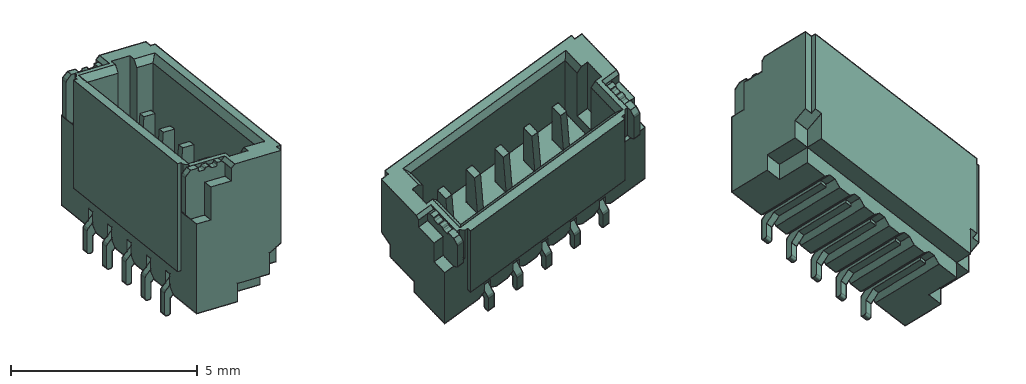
import cadquery as cq


LENGTH = 7.0
DEPTH = 2.785
HEIGHT = 4.25
HALF_LENGTH = LENGTH / 2

CAVITY_LENGTH = 5.39
PANEL_THICKNESS = 0.11
PANEL_BOTTOM = 0.94

REAR_STEP_LENGTH = 0.245
REAR_STEP_DEPTH = 0.14

LEDGE_HEIGHT = 0.56
FOOT_BACK = 2.28
END_UNDERCUT_LENGTH = 0.49
END_FOOT_BACK = 1.28
SLOPE_LOW = 1.205
SLOPE_HIGH = 1.49

CAVITY_FRONT = 0.295
CAVITY_BACK = 2.38
CAVITY_FLOOR = 1.25
RIM_BEVEL = 0.15
RIM_BEVEL_DEPTH = 0.195
KEY_SPAN = 6.11
KEY_FRONT = 1.295
KEY_BACK = 1.875
KEY_FLOOR = 1.75

PIN_COUNT = 5
PIN_PITCH = 1.0
PIN_WIDTH = 0.21
PIN_FRONT = -0.16
TAIL_THICKNESS = 0.18
TAIL_BOTTOM = -0.7
TAIL_END_RADIUS = 0.07
TAIL_BEND_TOP = 0.05
TAIL_BEND_BOTTOM = -0.19
BEND_RADIUS = 0.105
BLADE_BACK = 1.97
BLADE_THICKNESS = 0.49
BLADE_TOP = 3.0
BLADE_TAPER = 0.14
BLADE_TAPER_HEIGHT = 1.96
BAR_TOP = LEDGE_HEIGHT
BAR_BOTTOM = BAR_TOP - BLADE_THICKNESS
BLADE_FRONT = BLADE_BACK - BLADE_THICKNESS

NOTCH_WIDTH = 0.595
NOTCH_HEIGHT = 0.18

TAB_OUTER_INSET = 0.315
TAB_THICKNESS = 0.2
TAB_FRONT = PIN_FRONT
TAB_BACK = 1.085
TAB_STEP = 0.44
TAB_STEP_Z = 3.76
TAB_BOTTOM = 2.75
TAB_FRONT_BEVEL = -TAB_FRONT
TAB_BACK_BEVEL = 0.105
TAB_CORNER_RADIUS = 0.09
POCKET_INSET = TAB_OUTER_INSET + TAB_THICKNESS

RELIEF_DEPTH = 0.11
RELIEF_INSET = 0.61
RELIEF_MOUTH_INSET = 0.715

GROOVE_CENTER = 0.54
GROOVE_WIDTH = 0.59
GROOVE_DEPTH = 0.11
GROOVE_CORNER_RADIUS = 0.05
HUMP_TOP_WIDTH = 0.09
HUMP_BASE_WIDTH = 0.265
HUMP_HEIGHT = 0.07


def box(x_range, y_range, z_range):
    """Block between the given limits."""
    size = [high - low for low, high in (x_range, y_range, z_range)]
    corner = (x_range[0], y_range[0], z_range[0])
    return cq.Workplane("XY").box(*size, centered=False).translate(corner)


def side_plate(points, x_start, thickness):
    """Outline of (Y, Z) points extruded along +X from x_start."""
    outline = cq.Workplane("YZ", origin=(x_start, 0, 0)).polyline(points).close()
    return outline.extrude(thickness)


def at_both_ends(left_shape):
    """The given left-hand shape together with its mirror image on the right."""
    return [left_shape, left_shape.mirror("YZ")]


def pin_positions():
    first = -PIN_PITCH * (PIN_COUNT - 1) / 2
    return [first + PIN_PITCH * index for index in range(PIN_COUNT)]


def make_outer_shape():
    """Housing block with its front panel, rear corner steps and stepped underside."""
    half_panel = CAVITY_LENGTH / 2
    body = box((-HALF_LENGTH, HALF_LENGTH), (0, DEPTH), (0, HEIGHT))
    body = body.union(box((-half_panel, half_panel), (-PANEL_THICKNESS, 0), (PANEL_BOTTOM, HEIGHT)))
    body = body.cut(box((-HALF_LENGTH, HALF_LENGTH), (FOOT_BACK, DEPTH), (0, LEDGE_HEIGHT)))

    rear_step = box(
        (-HALF_LENGTH, REAR_STEP_LENGTH - HALF_LENGTH), (DEPTH - REAR_STEP_DEPTH, DEPTH), (0, HEIGHT)
    )
    undercut_outline = [
        (DEPTH, 0),
        (DEPTH, SLOPE_HIGH),
        (FOOT_BACK, SLOPE_LOW),
        (FOOT_BACK, LEDGE_HEIGHT),
        (END_FOOT_BACK, LEDGE_HEIGHT),
        (END_FOOT_BACK, 0),
    ]
    undercut = side_plate(undercut_outline, -HALF_LENGTH, END_UNDERCUT_LENGTH)
    for cutter in at_both_ends(rear_step) + at_both_ends(undercut):
        body = body.cut(cutter)
    return body


def make_cavity():
    """Mating space with its flared rim and the two key slots."""
    center_y = (CAVITY_FRONT + CAVITY_BACK) / 2
    width = CAVITY_BACK - CAVITY_FRONT
    half_cavity = CAVITY_LENGTH / 2
    cavity = box((-half_cavity, half_cavity), (CAVITY_FRONT, CAVITY_BACK), (CAVITY_FLOOR, HEIGHT))
    rim = (
        cq.Workplane("XY", origin=(0, center_y, HEIGHT - RIM_BEVEL_DEPTH))
        .rect(CAVITY_LENGTH, width)
        .workplane(offset=RIM_BEVEL_DEPTH)
        .rect(CAVITY_LENGTH + 2 * RIM_BEVEL, width + 2 * RIM_BEVEL)
        .loft(ruled=True)
    )
    keys = box((-KEY_SPAN / 2, KEY_SPAN / 2), (KEY_FRONT, KEY_BACK), (KEY_FLOOR, HEIGHT))
    return cavity.union(rim).union(keys)


def make_pin_opening(x):
    """Underside notch, bar slot and blade hole for the pin at x."""
    half_pin = PIN_WIDTH / 2
    sides = (x - half_pin, x + half_pin)
    notch = (
        cq.Workplane("XZ", origin=(x, 0, 0))
        .polyline(
            [
                (-NOTCH_WIDTH / 2, 0),
                (-half_pin, NOTCH_HEIGHT),
                (half_pin, NOTCH_HEIGHT),
                (NOTCH_WIDTH / 2, 0),
            ]
        )
        .close()
        .extrude(-FOOT_BACK)
    )
    bar_slot = box(sides, (0, BLADE_BACK), (0, BAR_TOP))
    blade_hole = box(sides, (BLADE_FRONT, BLADE_BACK), (BAR_BOTTOM, CAVITY_FLOOR))
    return notch.union(bar_slot).union(blade_hole)


def make_tab_pocket():
    """Left-hand pocket for a solder tab, with its lead-in bevel and front relief."""
    outline = [
        (0, TAB_BOTTOM),
        (TAB_STEP, TAB_BOTTOM),
        (TAB_STEP, TAB_STEP_Z),
        (TAB_BACK, TAB_STEP_Z),
        (TAB_BACK, HEIGHT - TAB_BACK_BEVEL),
        (TAB_BACK + TAB_BACK_BEVEL, HEIGHT),
        (0, HEIGHT),
    ]
    pocket = side_plate(outline, -HALF_LENGTH, POCKET_INSET)
    relief = (
        cq.Workplane("XY", origin=(-HALF_LENGTH, 0, TAB_BOTTOM))
        .polyline([(0, 0), (RELIEF_MOUTH_INSET, 0), (RELIEF_INSET, RELIEF_DEPTH), (0, RELIEF_DEPTH)])
        .close()
        .extrude(HEIGHT - TAB_BOTTOM)
    )
    return pocket.union(relief)


def make_housing():
    body = make_outer_shape().cut(make_cavity())
    for x in pin_positions():
        body = body.cut(make_pin_opening(x))
    for pocket in at_both_ends(make_tab_pocket()):
        body = body.cut(pocket)
    return body


def make_pin(x):
    """One contact pin centred at x, with 45-degree slopes from the bar down to the tail."""
    tail_back = PIN_FRONT + TAIL_THICKNESS
    outline = [
        (PIN_FRONT, TAIL_BOTTOM),
        (PIN_FRONT, TAIL_BEND_TOP),
        (PIN_FRONT + BAR_TOP - TAIL_BEND_TOP, BAR_TOP),
        (BLADE_FRONT, BAR_TOP),
        (BLADE_FRONT, BLADE_TOP - BLADE_TAPER_HEIGHT),
        (BLADE_FRONT + BLADE_TAPER, BLADE_TOP),
        (BLADE_BACK, BLADE_TOP),
        (BLADE_BACK, BAR_BOTTOM),
        (tail_back + BAR_BOTTOM - TAIL_BEND_BOTTOM, BAR_BOTTOM),
        (tail_back, TAIL_BEND_BOTTOM),
        (tail_back, TAIL_BOTTOM),
    ]
    pin = side_plate(outline, x - PIN_WIDTH / 2, PIN_WIDTH)
    pin = pin.edges("|X and <Z").fillet(TAIL_END_RADIUS)
    front_bend = cq.selectors.NearestToPointSelector((x, PIN_FRONT, TAIL_BEND_TOP))
    return pin.edges("|X").edges(front_bend).fillet(BEND_RADIUS)


def make_tab_groove():
    """Groove along X through the left-hand tab's top edge, with an S-sided hump in its floor."""
    side_length = GROOVE_DEPTH - GROOVE_CORNER_RADIUS
    floor_length = (GROOVE_WIDTH - HUMP_BASE_WIDTH) / 2 - GROOVE_CORNER_RADIUS
    half_run = (HUMP_BASE_WIDTH - HUMP_TOP_WIDTH) / 4
    half_rise = HUMP_HEIGHT / 2
    return (
        cq.Workplane("YZ", origin=(-HALF_LENGTH + TAB_OUTER_INSET, 0, 0))
        .moveTo(GROOVE_CENTER - GROOVE_WIDTH / 2, HEIGHT)
        .line(0, -side_length)
        .tangentArcPoint((GROOVE_CORNER_RADIUS, -GROOVE_CORNER_RADIUS))
        .line(floor_length, 0)
        .tangentArcPoint((half_run, half_rise))
        .tangentArcPoint((half_run, half_rise))
        .line(HUMP_TOP_WIDTH, 0)
        .tangentArcPoint((half_run, -half_rise))
        .tangentArcPoint((half_run, -half_rise))
        .line(floor_length, 0)
        .tangentArcPoint((GROOVE_CORNER_RADIUS, GROOVE_CORNER_RADIUS))
        .line(0, side_length)
        .close()
        .extrude(TAB_THICKNESS)
    )


def make_left_tab():
    """Stepped solder tab with bevelled corners and rounded front bends."""
    outline = [
        (0, TAB_BOTTOM),
        (TAB_STEP, TAB_BOTTOM),
        (TAB_STEP, TAB_STEP_Z),
        (TAB_BACK, TAB_STEP_Z),
        (TAB_BACK, HEIGHT - TAB_BACK_BEVEL),
        (TAB_BACK - TAB_BACK_BEVEL, HEIGHT),
        (0, HEIGHT),
        (TAB_FRONT, HEIGHT - TAB_FRONT_BEVEL),
        (TAB_FRONT, TAB_BOTTOM + TAB_FRONT_BEVEL),
    ]
    tab = side_plate(outline, -HALF_LENGTH + TAB_OUTER_INSET, TAB_THICKNESS)
    tab = tab.faces("<Y").edges("|X").fillet(TAB_CORNER_RADIUS)
    return tab.cut(make_tab_groove())


housing = make_housing()
pins = [make_pin(x) for x in pin_positions()]
tabs = at_both_ends(make_left_tab())

bodies = [housing, *pins, *tabs]
result = cq.Compound.makeCompound([body.solids().val() for body in bodies])